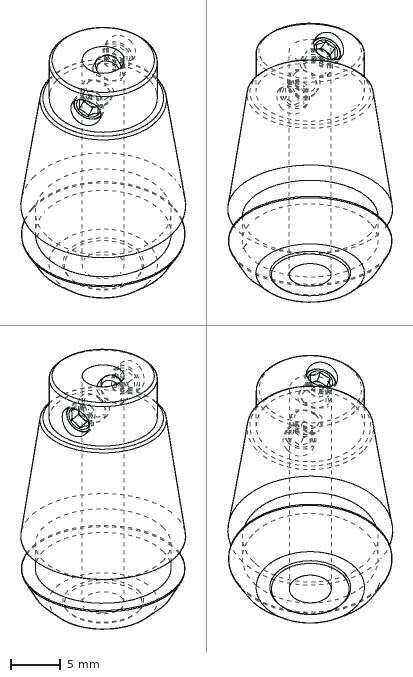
import cadquery as cq

height = 27.0
body_radius = 16.77 / 2
bore_radius = 4.27 / 2

nose_face_radius = 3.95
nose_radius = 4.1
nose_height = 0.22
base_radius = 5.5
base_bevel = 1.62
flange_radius = 16.6 / 2
flange_edge_z = 4.0
flange_top_z = 4.15

groove_radius = 13.8 / 2
groove_top_z = 7.0
body_edge_z = 7.88

collar_radius = 11.0 / 2
collar_height = 5.0
collar_z = height - collar_height
shoulder_radius = 6.43
edge_chamfer = 0.3
shoulder_chamfer_height = 0.25
shoulder_edge_z = collar_z - shoulder_chamfer_height

screw_z = 24.3
screw_radius = 1.62
screw_face_y = 4.5
screw_tip_y = 1.62
screw_tip_radius = 1.27
screw_tip_length = 0.55
screw_face_chamfer = 0.1
socket_width = 2.0
socket_depth = 1.35
socket_rim_radius = 1.27
socket_rim_depth = 0.14
socket_cone_depth = 0.57


def make_body():
    """Revolve the outer profile about Z and drill the central bore."""
    bevel_radius = base_radius + base_bevel
    bevel_z = nose_height + base_bevel
    profile = [
        (0, 0),
        (nose_face_radius, 0),
        (nose_radius, nose_height),
        (base_radius, nose_height),
        (bevel_radius, bevel_z),
        (flange_radius, flange_edge_z),
        (flange_radius, flange_top_z),
        (groove_radius, flange_top_z),
        (groove_radius, groove_top_z),
        (body_radius, body_edge_z),
        (shoulder_radius, shoulder_edge_z),
        (shoulder_radius - edge_chamfer, collar_z),
        (collar_radius, collar_z),
        (collar_radius, height - edge_chamfer),
        (collar_radius - edge_chamfer, height),
        (0, height),
    ]
    solid = cq.Workplane("XZ").polyline(profile).close().revolve(360, (0, 0), (0, 1))
    bore = cq.Workplane("XY").circle(bore_radius).extrude(height)
    return solid.cut(bore)


def revolve_about_y(profile):
    """Revolve (radius, y) points about the Y axis."""
    return cq.Workplane("XY").polyline(profile).close().revolve(360, (0, 0), (0, 1))


def make_screw():
    """Set screw along +Y with a flat conical tip and a hex socket."""
    blank = revolve_about_y([
        (0, screw_tip_y),
        (screw_tip_radius, screw_tip_y),
        (screw_radius, screw_tip_y + screw_tip_length),
        (screw_radius, screw_face_y - screw_face_chamfer),
        (screw_radius - screw_face_chamfer, screw_face_y),
        (0, screw_face_y),
    ])
    socket_floor_y = screw_face_y - socket_depth
    socket = (
        cq.Workplane("XZ", origin=(0, socket_floor_y, 0))
        .polygon(6, socket_width, circumscribed=True)
        .extrude(-socket_depth)
    )
    rim = revolve_about_y([
        (0, screw_face_y),
        (socket_rim_radius, screw_face_y),
        (socket_width / 2, screw_face_y - socket_rim_depth),
        (0, screw_face_y - socket_rim_depth),
    ])
    drill_point = revolve_about_y([
        (0, socket_floor_y),
        (socket_width / 2, socket_floor_y),
        (0, socket_floor_y - socket_cone_depth),
    ])
    return blank.cut(socket).cut(rim).cut(drill_point)


screw_hole = (
    cq.Workplane("XZ", origin=(0, 0, screw_z))
    .circle(screw_radius)
    .extrude(collar_radius, both=True)
)
result = make_body().cut(screw_hole)

for angle in (0, 180):
    screw = make_screw().rotate((0, 0, 0), (0, 0, 1), angle).translate((0, 0, screw_z))
    result = result.union(screw)